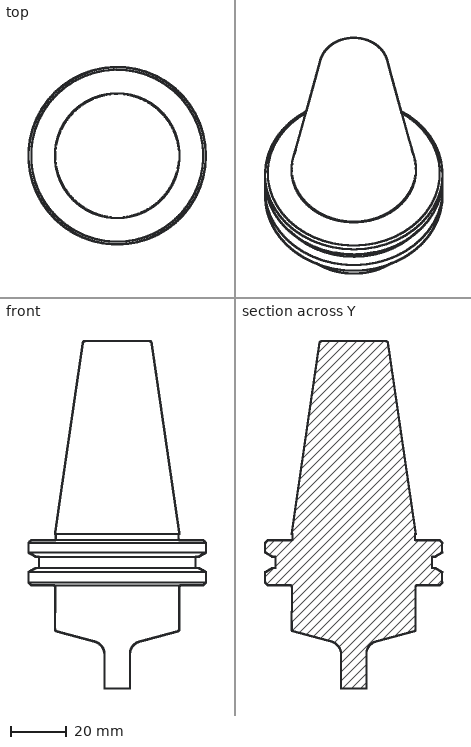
import cadquery as cq
import math

total_height = 124.2
stem_diameter = 9.2
body_diameter = 44.5
flange_diameter = 63.5
groove_diameter = 56.0
neck_diameter = 44.0
gauge_diameter = 44.6

stem_blend_start = 12.3
flange_bottom = 36.9
flange_top = 53.0
gauge_height = 55.2

lower_rim_top = 41.6
upper_rim_bottom = 48.6
groove_side_height = 1.5
groove_side_angle = math.radians(30)

taper_ratio = 7 / 24
cone_angle = math.radians(15)
stem_blend_radius = 4.6
edge_fillet = 1.0
flange_chamfer = 1.0
body_root_fillet = 0.6
neck_root_fillet = 0.4

stem_radius = stem_diameter / 2
body_radius = body_diameter / 2
flange_radius = flange_diameter / 2
groove_radius = groove_diameter / 2
ledge_radius = flange_radius - groove_side_height / math.tan(groove_side_angle)
neck_radius = neck_diameter / 2
gauge_radius = gauge_diameter / 2
taper_end_radius = gauge_radius - (total_height - gauge_height) * taper_ratio / 2


def blend_point(angle):
    """Point on the stem blend, turned by angle from its start on the stem."""
    radius = stem_radius + stem_blend_radius * (1 - math.cos(angle))
    height = stem_blend_start + stem_blend_radius * math.sin(angle)
    return radius, height


blend_turn = math.pi / 2 - cone_angle
cone_start_radius, cone_start_height = blend_point(blend_turn)
cone_end_height = cone_start_height + (body_radius - cone_start_radius) * math.tan(cone_angle)

profile = (
    cq.Workplane("XZ")
    .lineTo(stem_radius, 0)
    .lineTo(stem_radius, stem_blend_start)
    .threePointArc(blend_point(blend_turn / 2), (cone_start_radius, cone_start_height))
    .lineTo(body_radius, cone_end_height)
    .lineTo(body_radius, flange_bottom)
    .lineTo(flange_radius, flange_bottom)
    .lineTo(flange_radius, lower_rim_top)
    .lineTo(ledge_radius, lower_rim_top + groove_side_height)
    .lineTo(groove_radius, lower_rim_top + groove_side_height)
    .lineTo(groove_radius, upper_rim_bottom - groove_side_height)
    .lineTo(ledge_radius, upper_rim_bottom - groove_side_height)
    .lineTo(flange_radius, upper_rim_bottom)
    .lineTo(flange_radius, flange_top)
    .lineTo(neck_radius, flange_top)
    .lineTo(neck_radius, gauge_height)
    .lineTo(gauge_radius, gauge_height)
    .lineTo(taper_end_radius, total_height)
    .lineTo(0, total_height)
    .close()
)
holder = profile.revolve(360, (0, 0, 0), (0, 1, 0))


def ring_edge(radius, height):
    """Selector for the circular edge of the given radius at the given height."""
    margin = 0.06
    reach = radius + margin
    return cq.selectors.BoxSelector(
        (-reach, -reach, height - margin), (reach, reach, height + margin), boundingbox=True
    )


def outer_ring(solid, radius, height):
    """Circular edge at a height, leaving out smaller rings at that height."""
    smaller = ring_edge(radius - 0.1, height)
    return solid.edges(ring_edge(radius, height) - smaller)


holder = outer_ring(holder, taper_end_radius, total_height).fillet(edge_fillet)
holder = outer_ring(holder, body_radius, cone_end_height).fillet(edge_fillet)

for face_height in (flange_bottom, flange_top):
    holder = outer_ring(holder, flange_radius, face_height).chamfer(flange_chamfer)

holder = outer_ring(holder, body_radius, flange_bottom).fillet(body_root_fillet)
holder = outer_ring(holder, neck_radius, flange_top).fillet(neck_root_fillet)

result = holder